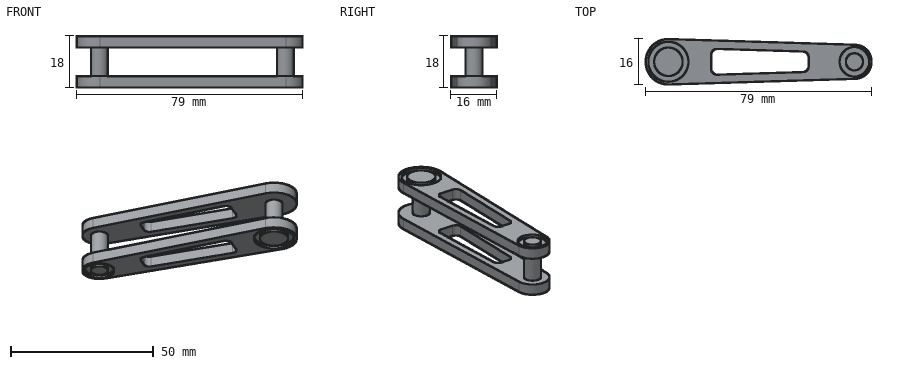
import cadquery as cq
import math

length = 79.05
height = 18.0
plate_thickness = 4.0

large_radius = 8.0
small_radius = 6.0
pin_spacing = length - large_radius - small_radius

post_diameter = 6.0
large_head_diameter = 10.0
large_recess_diameter = 14.0
small_head_diameter = post_diameter
small_recess_diameter = 10.35
recess_depth = 1.0

window_start = 15.0
window_length = 34.0
window_wall = 3.0
window_corner_radius = 2.0

taper_angle = math.asin((large_radius - small_radius) / pin_spacing)


def tangent_point(center_x, radius):
    """Point where the upper straight edge meets a round end."""
    return (
        center_x + radius * math.sin(taper_angle),
        radius * math.cos(taper_angle),
    )


def window_half_width(x):
    """Half width of the window at x, one wall inside the sloping edge."""
    inner_radius = large_radius - window_wall
    return inner_radius / math.cos(taper_angle) - x * math.tan(taper_angle)


def make_window():
    window_end = window_start + window_length
    start_half = window_half_width(window_start)
    end_half = window_half_width(window_end)
    return (
        cq.Workplane("XY")
        .moveTo(window_start, -start_half)
        .lineTo(window_end, -end_half)
        .lineTo(window_end, end_half)
        .lineTo(window_start, start_half)
        .close()
        .extrude(plate_thickness)
        .edges("|Z")
        .fillet(window_corner_radius)
    )


def make_recess(center_x, outer_diameter, head_diameter):
    """Ring cut into the plate's upper face, leaving the pin head flush."""
    return (
        cq.Workplane("XY", origin=(center_x, 0, plate_thickness - recess_depth))
        .circle(outer_diameter / 2)
        .circle(head_diameter / 2)
        .extrude(recess_depth)
    )


def make_plate():
    """Link plate standing on Z = 0 with its recessed face upward."""
    large_x, large_y = tangent_point(0, large_radius)
    small_x, small_y = tangent_point(pin_spacing, small_radius)
    outline = (
        cq.Workplane("XY")
        .moveTo(large_x, large_y)
        .lineTo(small_x, small_y)
        .threePointArc((pin_spacing + small_radius, 0), (small_x, -small_y))
        .lineTo(large_x, -large_y)
        .threePointArc((-large_radius, 0), (large_x, large_y))
        .close()
    )
    return (
        outline.extrude(plate_thickness)
        .cut(make_window())
        .cut(make_recess(0, large_recess_diameter, large_head_diameter))
        .cut(make_recess(pin_spacing, small_recess_diameter, small_head_diameter))
    )


gap = height - 2 * plate_thickness
upper_plate = make_plate().translate((0, 0, gap / 2))
lower_plate = upper_plate.mirror("XY")

posts = (
    cq.Workplane("XY", origin=(0, 0, -gap / 2))
    .pushPoints([(0, 0), (pin_spacing, 0)])
    .circle(post_diameter / 2)
    .extrude(gap)
)

result = upper_plate.union(lower_plate).union(posts)